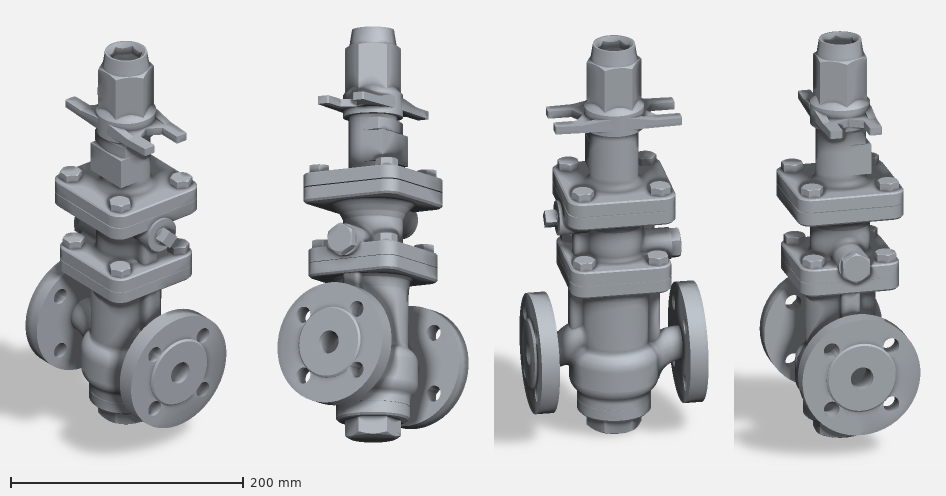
import cadquery as cq
import math

TOP_Z = 285.0
BOTTOM_Z = -72.4

BODY_RADIUS = 30.0
BULGE_RADIUS = 38.7
BASE_RADIUS = 32.0
BASE_BOTTOM_Z = -57.0
BASE_CHAMFER = 1.8
BASE_GROOVE_Z = -45.7
BASE_GROOVE_SIZE = 0.6
BASE_TOP_Z = -38.7
BULGE_BOTTOM_Z = -25.8
BULGE_TOP_Z = -7.7
BARREL_FOOT_Z = 8.0
BASE_BLEND_MIDDLE = (32.7, -36.2)
BULGE_LOWER_END = (34.4, -34.4)
BULGE_LOWER_MIDDLE = (37.3, -30.8)
BULGE_UPPER_MIDDLE = (36.9, -0.8)
BULGE_UPPER_END = (32.0, 4.2)
BARREL_BLEND_MIDDLE = (30.6, 5.8)
SHOULDER_RADIUS = 30.8
SHOULDER_Z = 55.7
HEAD_RADIUS = 32.2
HEAD_Z = 63.7

RIB_REACH = 39.5
RIB_WIDTH = 16.4
RIB_CORNER = 4.0
RIB_FILLET = 4.0
RIB_BOTTOM_Z = 5.0
RIB_BARREL_INSET = 0.2

HALF_LENGTH = 75.0
FLANGE_DIAMETER = 105.0
FLANGE_THICKNESS = 15.7
RAISED_FACE_DIAMETER = 62.0
RAISED_FACE_HEIGHT = 2.0
RAISED_FACE_CHAMFER = 1.5
BORE_DIAMETER = 20.0
BORE_DEPTH = 25.0
FLANGE_HOLE_DIAMETER = 14.0
FLANGE_HOLE_SPACING = 53.2

INLET_RADIUS = 15.0
INLET_BEND = 33.0
INLET_TURN = 80.0
INLET_FILLET = 4.0
OUTLET_RADIUS = 13.5
OUTLET_FIRST_BEND = 14.0
OUTLET_FIRST_TURN = 51.0
OUTLET_SECOND_BEND = 30.0
OUTLET_STRAIGHT_END_X = 53.0
OUTLET_FILLET = 4.5

CORNER_RADIUS = 12.5
COVER_TOP_CHAMFER = 1.2
COVER_BOTTOM_CHAMFER = 1.8
GASKET_INSET = 7.0
LOWER_COVER_SIDE = 88.0
LOWER_COVER_BOTTOM_Z = 66.2
LOWER_COVER_SPLIT_Z = 78.3
LOWER_COVER_TOP_Z = 91.0
LOWER_GASKET = 0.4
LOWER_BOLT_SPACING = 64.0
UPPER_COVER_SIDE = 94.4
UPPER_COVER_BOTTOM_Z = 131.5
UPPER_COVER_SPLIT_Z = 144.4
UPPER_COVER_TOP_Z = 156.6
UPPER_GASKET = 0.9
UPPER_BOLT_SPACING = 67.6
BOLT_FLATS = 17.0
BOLT_HEIGHT = 7.3
BOLT_TURN = 30

PILOT_RADIUS = 25.7
PILOT_FILLET = 4.0
PILOT_FLARE_BOTTOM_Z = 118.0
PILOT_CONE_START = (28.0, 123.0)
PILOT_CONE_END = (32.0, 127.8)
PILOT_FLARE_RADIUS = 36.0

PLUG_PORT_Z = 94.0
PLUG_PORT_RADIUS = 13.8
PLUG_PORT_FILLET = 4.5
PLUG_PORT_FOOT_FILLET = 3.0
PLUG_PORT_FOOT_WIDTH = 40.0
PLUG_FLATS = 24.0
PLUG_END_X = -57.0
PLUG_START_X = -48.6
SCREEN_PORT_Z = 125.3
SCREEN_PORT_RADIUS = 14.8
SCREEN_PORT_RIM_RADIUS = 15.3
SCREEN_PORT_RIM_X = 47.6
SCREEN_PORT_END_X = 50.2
SCREEN_PORT_NECK_RADIUS = 7.0
SQUARE_HEAD_START_X = 51.4
SQUARE_HEAD_END_X = 60.8
SQUARE_HEAD_SIDE = 11.7
PORT_RIB_REACH = 35.8

NECK_RADIUS = 21.0
NECK_FILLET = 6.0
BLOCK_HALF_WIDTH = NECK_RADIUS
PLATE_DEPTH = 22.4
PLATE_BOTTOM_Z = 166.5
PLATE_TOP_Z = 193.2
PAD_SIDE_DEPTH = 17.3
PAD_MIDDLE_DEPTH = 21.4
PAD_BOTTOM_Z = 194.2
PAD_TOP_Z = 204.7
COLLAR_RADIUS = 26.0
COLLAR_BOTTOM_Z = 208.4
COLLAR_TOP_Z = 227.7
COLLAR_CONE_HEIGHT = 5.8
CAP_FLATS = 42.0
CAP_HEX_TOP_Z = 271.0
CAP_CONE_RADIUS = 20.4
CAP_TOP_RADIUS = 18.2
SOCKET_FLATS = 25.0
SOCKET_RIM_RADIUS = 16.6
SOCKET_DEPTH = 10.0
HANDLE_BOTTOM_Z = 213.7
HANDLE_TOP_Z = 220.5
HANDLE_TIP_X = 55.5
HANDLE_TIP_Y = 23.0
HANDLE_ROOT_Y = 25.6
HANDLE_INNER_Y = 12.0
HANDLE_FORK_X = 35.0
HANDLE_CROTCH_X = 27.5
HANDLE_TIP_RADIUS = 1.5
WEDGE_INNER_Y = 17.3
WEDGE_END_X = 6.8
WEDGE_CREST_X = 10.0
WEDGE_START_X = 32.3
WEDGE_TOP_Z = 224.3

COS_30 = math.cos(math.radians(30))
HEX_CHAMFER_SLOPE = math.tan(math.radians(30))
HEX_RIM_RATIO = 0.97


def cylinder_z(radius, bottom, top):
    return cq.Workplane("XY").workplane(offset=bottom).circle(radius).extrude(top - bottom)


def cylinder_x(radius, start, end, z):
    return cq.Workplane("YZ", origin=(start, 0, z)).circle(radius).extrude(end - start)


def turned(profile):
    """Revolve an XZ outline, with X as the radius, about the Z axis."""
    return profile.close().revolve(360, (0, 0, 0), (0, 1, 0))


def hex_head(flats, height):
    """Hexagon on Z = 0 with vertices on X and a 30 degree chamfer on its top."""
    corner_radius = flats / 2 / COS_30
    rim_radius = flats / 2 * HEX_RIM_RATIO
    chamfer_height = (corner_radius - rim_radius) * HEX_CHAMFER_SLOPE
    envelope = turned(
        cq.Workplane("XZ")
        .lineTo(corner_radius, 0)
        .lineTo(corner_radius, height - chamfer_height)
        .lineTo(rim_radius, height)
        .lineTo(0, height)
    )
    prism = cq.Workplane("XY").polygon(6, 2 * corner_radius).extrude(height)
    return prism.intersect(envelope)


def make_body():
    """Turned lower body: hexagon end, grooved base, bulge and barrel."""
    head_top_radius = HEAD_RADIUS + LOWER_COVER_BOTTOM_Z - HEAD_Z
    profile = (
        cq.Workplane("XZ")
        .moveTo(0, BASE_BOTTOM_Z)
        .lineTo(BASE_RADIUS - BASE_CHAMFER, BASE_BOTTOM_Z)
        .lineTo(BASE_RADIUS, BASE_BOTTOM_Z + BASE_CHAMFER)
        .lineTo(BASE_RADIUS, BASE_TOP_Z)
        .threePointArc(BASE_BLEND_MIDDLE, BULGE_LOWER_END)
        .threePointArc(BULGE_LOWER_MIDDLE, (BULGE_RADIUS, BULGE_BOTTOM_Z))
        .lineTo(BULGE_RADIUS, BULGE_TOP_Z)
        .threePointArc(BULGE_UPPER_MIDDLE, BULGE_UPPER_END)
        .threePointArc(BARREL_BLEND_MIDDLE, (BODY_RADIUS, BARREL_FOOT_Z))
        .lineTo(SHOULDER_RADIUS, SHOULDER_Z)
        .lineTo(HEAD_RADIUS, HEAD_Z)
        .lineTo(head_top_radius, LOWER_COVER_BOTTOM_Z)
        .lineTo(0, LOWER_COVER_BOTTOM_Z)
    )
    groove_top_z = BASE_GROOVE_Z + BASE_GROOVE_SIZE
    groove_core = cylinder_z(BASE_RADIUS - BASE_GROOVE_SIZE, BASE_GROOVE_Z, groove_top_z)
    groove = cylinder_z(BASE_RADIUS, BASE_GROOVE_Z, groove_top_z).cut(groove_core)
    bottom_hex = (
        hex_head(CAP_FLATS, BASE_BOTTOM_Z - BOTTOM_Z)
        .rotate((0, 0, 0), (1, 0, 0), 180)
        .translate((0, 0, BASE_BOTTOM_Z))
    )
    return turned(profile).cut(groove).union(bottom_hex)


def make_ribbed_barrel(barrel_radius, reach, bottom, top, sides):
    """Barrel with a round-nosed rib on each given side, blended into it."""
    barrel = cylinder_z(barrel_radius, bottom, top)
    half_width = RIB_WIDTH / 2
    root_x = math.sqrt(barrel_radius**2 - half_width**2)
    for side in sides:
        rib = (
            cq.Workplane("XY")
            .box(reach, RIB_WIDTH, top - bottom, centered=(False, True, False))
            .edges("|Z and >X")
            .fillet(RIB_CORNER)
            .translate((0, 0, bottom))
        )
        if side < 0:
            rib = rib.mirror("YZ")
        barrel = barrel.union(rib)
        for y in (-half_width, half_width):
            root = cq.selectors.NearestToPointSelector((side * root_x, y, (bottom + top) / 2))
            barrel = barrel.edges("|Z").edges(root).fillet(RIB_FILLET)
    return barrel


def make_pipe_flange(side):
    """Drilled flange with a raised sealing face; side is -1 or +1 along X."""
    back_x = HALF_LENGTH - RAISED_FACE_HEIGHT - FLANGE_THICKNESS
    flange = (
        cq.Workplane("YZ", origin=(back_x, 0, 0))
        .circle(FLANGE_DIAMETER / 2)
        .extrude(FLANGE_THICKNESS)
        .faces(">X")
        .workplane()
        .rect(FLANGE_HOLE_SPACING, FLANGE_HOLE_SPACING, forConstruction=True)
        .vertices()
        .hole(FLANGE_HOLE_DIAMETER)
    )
    raised_face = cylinder_x(RAISED_FACE_DIAMETER / 2, back_x, HALF_LENGTH, 0)
    flange = flange.union(raised_face.faces(">X").chamfer(RAISED_FACE_CHAMFER))
    return flange if side > 0 else flange.mirror("YZ")


def arc_point(center, radius, degrees):
    angle = math.radians(degrees)
    return (center[0] + radius * math.cos(angle), center[1] + radius * math.sin(angle))


def make_inlet_elbow():
    """Pipe that leaves the -X flange and bends down into the bulge."""
    start_x = -HALF_LENGTH + RAISED_FACE_HEIGHT + FLANGE_THICKNESS
    center = (start_x, -INLET_BEND)
    path = (
        cq.Workplane("XZ")
        .moveTo(start_x, 0)
        .threePointArc(
            arc_point(center, INLET_BEND, 90 - INLET_TURN / 2),
            arc_point(center, INLET_BEND, 90 - INLET_TURN),
        )
    )
    return cq.Workplane("YZ", origin=(start_x, 0, 0)).circle(INLET_RADIUS).sweep(path)


def make_outlet_elbow():
    """S-shaped pipe from the +X flange up and back into the barrel."""
    start_x = HALF_LENGTH - RAISED_FACE_HEIGHT - FLANGE_THICKNESS
    first_center = (OUTLET_STRAIGHT_END_X, OUTLET_FIRST_BEND)
    seam_angle = 270 - OUTLET_FIRST_TURN
    seam = arc_point(first_center, OUTLET_FIRST_BEND, seam_angle)
    second_center = arc_point(seam, OUTLET_SECOND_BEND, seam_angle)
    second_start_angle = seam_angle - 180
    path = (
        cq.Workplane("XZ")
        .moveTo(start_x, 0)
        .lineTo(OUTLET_STRAIGHT_END_X, 0)
        .threePointArc(arc_point(first_center, OUTLET_FIRST_BEND, 270 - OUTLET_FIRST_TURN / 2), seam)
        .threePointArc(
            arc_point(second_center, OUTLET_SECOND_BEND, (second_start_angle + 90) / 2),
            arc_point(second_center, OUTLET_SECOND_BEND, 90),
        )
    )
    return cq.Workplane("YZ", origin=(start_x, 0, 0)).circle(OUTLET_RADIUS).sweep(path)


def make_square_plate(side, bottom, top):
    return (
        cq.Workplane("XY")
        .box(side, side, top - bottom, centered=(True, True, False))
        .edges("|Z")
        .fillet(CORNER_RADIUS)
        .translate((0, 0, bottom))
    )


def make_cover_pair(side, bottom, split, top, gasket, bolt_spacing):
    """Two square plates on a recessed gasket, with four bolt heads on top."""
    lower = make_square_plate(side, bottom, split - gasket / 2)
    lower = lower.faces("<Z").chamfer(COVER_BOTTOM_CHAMFER)
    upper = make_square_plate(side, split + gasket / 2, top)
    upper = upper.faces(">Z").chamfer(COVER_TOP_CHAMFER)
    seal = make_square_plate(side - 2 * GASKET_INSET, split - gasket, split + gasket)
    pair = lower.union(upper).union(seal)
    bolt = hex_head(BOLT_FLATS, BOLT_HEIGHT)
    for x_sign in (-1, 1):
        for y_sign in (-1, 1):
            turn = 0 if x_sign == y_sign else BOLT_TURN
            place = (x_sign * bolt_spacing / 2, y_sign * bolt_spacing / 2, top)
            pair = pair.union(bolt.rotate((0, 0, 0), (0, 0, 1), turn).translate(place))
    return pair


def make_pilot_neck():
    """Round neck between the covers, flaring out below the upper cover."""
    profile = (
        cq.Workplane("XZ")
        .moveTo(0, LOWER_COVER_TOP_Z)
        .lineTo(PILOT_RADIUS + PILOT_FILLET, LOWER_COVER_TOP_Z)
        .radiusArc((PILOT_RADIUS, LOWER_COVER_TOP_Z + PILOT_FILLET), PILOT_FILLET)
        .lineTo(PILOT_RADIUS, PILOT_FLARE_BOTTOM_Z)
        .lineTo(*PILOT_CONE_START)
        .lineTo(*PILOT_CONE_END)
        .lineTo(PILOT_FLARE_RADIUS, UPPER_COVER_BOTTOM_Z)
        .lineTo(0, UPPER_COVER_BOTTOM_Z)
    )
    return turned(profile)


def make_plug_port_foot():
    """Stretch of the plug port blended into the top of the lower cover."""
    length = LOWER_COVER_SIDE / 2 - COVER_TOP_CHAMFER
    height = LOWER_COVER_TOP_Z - LOWER_COVER_SPLIT_Z
    slab = (
        cq.Workplane("XY", origin=(-length / 2, 0, LOWER_COVER_SPLIT_Z))
        .box(length, PLUG_PORT_FOOT_WIDTH, height, centered=(True, True, False))
    )
    foot = slab.union(cylinder_x(PLUG_PORT_RADIUS, -length, 0, PLUG_PORT_Z))
    half_chord = math.sqrt(PLUG_PORT_RADIUS**2 - (PLUG_PORT_Z - LOWER_COVER_TOP_Z) ** 2)
    for y in (-half_chord, half_chord):
        crease = cq.selectors.NearestToPointSelector((-length / 2, y, LOWER_COVER_TOP_Z))
        foot = foot.edges("|X").edges(crease).fillet(PLUG_PORT_FOOT_FILLET)
    return foot


def make_plug_port():
    """Boss on the -X side of the lower cover, closed by a hexagon plug."""
    boss = cylinder_x(PLUG_PORT_RADIUS, PLUG_START_X, 0, PLUG_PORT_Z)
    boss = boss.union(cylinder_z(PILOT_RADIUS, LOWER_COVER_BOTTOM_Z, PILOT_FLARE_BOTTOM_Z))
    seam_top = (-PILOT_RADIUS, 0, PLUG_PORT_Z + PLUG_PORT_RADIUS)
    boss = boss.edges(cq.selectors.NearestToPointSelector(seam_top)).fillet(PLUG_PORT_FILLET)
    boss = boss.union(make_plug_port_foot())
    plug = (
        hex_head(PLUG_FLATS, PLUG_START_X - PLUG_END_X)
        .rotate((0, 0, 0), (0, 1, 0), -90)
        .translate((PLUG_START_X, 0, PLUG_PORT_Z))
    )
    return boss.union(plug)


def make_screen_port():
    """Boss on the +X side below the upper cover, with a square-headed plug."""
    boss = cylinder_x(SCREEN_PORT_RADIUS, 0, SCREEN_PORT_END_X, SCREEN_PORT_Z)
    rim = cylinder_x(SCREEN_PORT_RIM_RADIUS, SCREEN_PORT_RIM_X, SCREEN_PORT_END_X, SCREEN_PORT_Z)
    neck = cylinder_x(SCREEN_PORT_NECK_RADIUS, 0, SQUARE_HEAD_START_X, SCREEN_PORT_Z)
    head = (
        cq.Workplane("YZ", origin=(SQUARE_HEAD_START_X, 0, SCREEN_PORT_Z))
        .polygon(4, SQUARE_HEAD_SIDE * math.sqrt(2))
        .extrude(SQUARE_HEAD_END_X - SQUARE_HEAD_START_X)
    )
    return boss.union(rim).union(neck).union(head)


def make_block(side_depth, middle_depth, bottom, top):
    """Block on the -Y side of the housing; its front bows out to middle_depth."""
    outline = (
        cq.Workplane("XY", origin=(0, 0, bottom))
        .moveTo(-BLOCK_HALF_WIDTH, 0)
        .lineTo(-BLOCK_HALF_WIDTH, -side_depth)
    )
    front_end = (BLOCK_HALF_WIDTH, -side_depth)
    if middle_depth > side_depth:
        outline = outline.threePointArc((0, -middle_depth), front_end)
    else:
        outline = outline.lineTo(*front_end)
    return outline.lineTo(BLOCK_HALF_WIDTH, 0).close().extrude(top - bottom)


def make_spring_housing():
    """Round housing on the upper cover with the name plate block and pad."""
    profile = (
        cq.Workplane("XZ")
        .moveTo(0, UPPER_COVER_TOP_Z)
        .lineTo(NECK_RADIUS + NECK_FILLET, UPPER_COVER_TOP_Z)
        .radiusArc((NECK_RADIUS, UPPER_COVER_TOP_Z + NECK_FILLET), NECK_FILLET)
        .lineTo(NECK_RADIUS, COLLAR_BOTTOM_Z)
        .lineTo(0, COLLAR_BOTTOM_Z)
    )
    plate_block = make_block(PLATE_DEPTH, PLATE_DEPTH, PLATE_BOTTOM_Z, PLATE_TOP_Z)
    pad = make_block(PAD_SIDE_DEPTH, PAD_MIDDLE_DEPTH, PAD_BOTTOM_Z, PAD_TOP_Z)
    return turned(profile).union(plate_block).union(pad)


def make_cap():
    """Collar, hexagon and tapered top with a hexagon socket."""
    hex_height = CAP_HEX_TOP_Z - COLLAR_TOP_Z
    hexagon = hex_head(CAP_FLATS, hex_height).translate((0, 0, COLLAR_TOP_Z))
    collar = turned(
        cq.Workplane("XZ")
        .moveTo(0, COLLAR_BOTTOM_Z)
        .lineTo(COLLAR_RADIUS, COLLAR_BOTTOM_Z)
        .lineTo(COLLAR_RADIUS, COLLAR_TOP_Z)
        .lineTo(CAP_FLATS / 2, COLLAR_TOP_Z + COLLAR_CONE_HEIGHT)
        .lineTo(0, COLLAR_TOP_Z + COLLAR_CONE_HEIGHT)
    )
    taper = turned(
        cq.Workplane("XZ")
        .moveTo(0, CAP_HEX_TOP_Z)
        .lineTo(CAP_CONE_RADIUS, CAP_HEX_TOP_Z)
        .lineTo(CAP_TOP_RADIUS, TOP_Z)
        .lineTo(0, TOP_Z)
    )
    socket_corners = SOCKET_FLATS / COS_30
    socket = (
        cq.Workplane("XY")
        .workplane(offset=TOP_Z - SOCKET_DEPTH)
        .polygon(6, socket_corners)
        .extrude(SOCKET_DEPTH)
    )
    lead_in = turned(
        cq.Workplane("XZ")
        .moveTo(0, TOP_Z)
        .lineTo(SOCKET_RIM_RADIUS, TOP_Z)
        .lineTo(0, TOP_Z - SOCKET_RIM_RADIUS)
    ).intersect(cylinder_z(SOCKET_RIM_RADIUS, TOP_Z - SOCKET_DEPTH / 2, TOP_Z))
    return collar.union(hexagon).union(taper).cut(socket).cut(lead_in)


def make_handle():
    """Forked handle bars on both sides of the collar, thickened near it."""
    outline = (
        cq.Workplane("XY")
        .moveTo(0, HANDLE_ROOT_Y)
        .lineTo(-HANDLE_TIP_X, HANDLE_TIP_Y)
        .lineTo(-HANDLE_TIP_X, HANDLE_INNER_Y)
        .lineTo(-HANDLE_FORK_X, HANDLE_INNER_Y)
        .lineTo(-HANDLE_CROTCH_X, 0)
        .lineTo(0, 0)
        .close()
        .extrude(WEDGE_TOP_Z - HANDLE_BOTTOM_Z)
        .edges("|Z and <X")
        .fillet(HANDLE_TIP_RADIUS)
        .translate((0, 0, HANDLE_BOTTOM_Z))
    )
    bar = outline.intersect(cylinder_z(2 * HANDLE_TIP_X, HANDLE_BOTTOM_Z, HANDLE_TOP_Z))
    wedge = (
        cq.Workplane("XZ", origin=(0, HANDLE_ROOT_Y, 0))
        .moveTo(-WEDGE_START_X, HANDLE_BOTTOM_Z)
        .lineTo(-WEDGE_END_X, HANDLE_BOTTOM_Z)
        .lineTo(-WEDGE_END_X, WEDGE_TOP_Z)
        .lineTo(-WEDGE_CREST_X, WEDGE_TOP_Z)
        .lineTo(-WEDGE_START_X, HANDLE_TOP_Z)
        .close()
        .extrude(HANDLE_ROOT_Y - WEDGE_INNER_Y)
    )
    quarter = bar.union(wedge.intersect(outline))
    side = quarter.union(quarter.mirror("XZ"))
    return side.union(side.mirror("YZ"))


def make_piped_body():
    """Lower body with both elbows blended into it.

    The curved seams between body and elbow are spline edges. The inlet merges
    smoothly into the bulge below, so only the seam above it is rounded.
    """
    body = make_body().union(make_inlet_elbow())
    above_bulge = cq.selectors.BoxSelector(
        (-HALF_LENGTH, -BODY_RADIUS, BULGE_TOP_Z),
        (0, BODY_RADIUS, LOWER_COVER_BOTTOM_Z),
    )
    body = body.edges("%BSPLINE").edges(above_bulge).fillet(INLET_FILLET)
    body = body.union(make_outlet_elbow())
    outlet_side = cq.selectors.BoxSelector(
        (0, -BODY_RADIUS, BASE_TOP_Z),
        (HALF_LENGTH, BODY_RADIUS, LOWER_COVER_BOTTOM_Z),
    )
    return body.edges("%BSPLINE").edges(outlet_side).fillet(OUTLET_FILLET)


def make_valve():
    barrel = make_ribbed_barrel(
        BODY_RADIUS - RIB_BARREL_INSET, RIB_REACH, RIB_BOTTOM_Z, LOWER_COVER_BOTTOM_Z, (-1, 1)
    )
    port_support = make_ribbed_barrel(
        PILOT_RADIUS, PORT_RIB_REACH, LOWER_COVER_TOP_Z, SCREEN_PORT_Z, (1,)
    )
    lower_covers = make_cover_pair(
        LOWER_COVER_SIDE, LOWER_COVER_BOTTOM_Z, LOWER_COVER_SPLIT_Z,
        LOWER_COVER_TOP_Z, LOWER_GASKET, LOWER_BOLT_SPACING,
    )
    upper_covers = make_cover_pair(
        UPPER_COVER_SIDE, UPPER_COVER_BOTTOM_Z, UPPER_COVER_SPLIT_Z,
        UPPER_COVER_TOP_Z, UPPER_GASKET, UPPER_BOLT_SPACING,
    )
    valve = make_piped_body()
    parts = (
        barrel, make_pipe_flange(-1), make_pipe_flange(1),
        lower_covers, make_pilot_neck(), port_support, make_plug_port(), make_screen_port(),
        upper_covers, make_spring_housing(), make_cap(), make_handle(),
    )
    for part in parts:
        valve = valve.union(part)
    for side in (-1, 1):
        start_x = side * HALF_LENGTH
        end_x = side * (HALF_LENGTH - BORE_DEPTH)
        valve = valve.cut(cylinder_x(BORE_DIAMETER / 2, start_x, end_x, 0))
    return valve


result = make_valve()